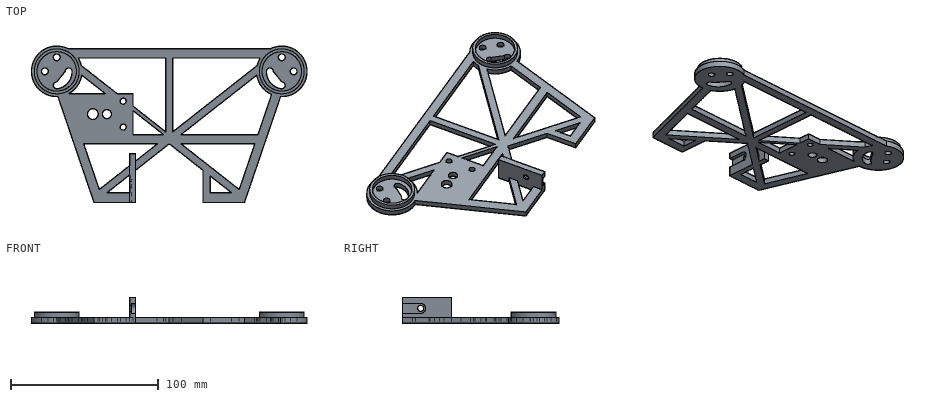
import cadquery as cq
import math

overall_length = 186.7
overall_depth = 106.0
overall_height = 17.5
frame_thickness = 4.0

seat_diameter = 34.3
rim_outer_diameter = 30.5
rim_inner_diameter = 26.7
rim_height = 3.5
seat_hole_diameter = 4.5
seat_hole_offset_x = 8.0
seat_hole_offset_y = 9.5
slot_outer_radius = 10.8

bar_width = 6.3
brace_width = 5.0
rear_edge_y = 104.2
front_half_width = 51.0
side_run = 0.341
front_bar_width = 6.7
hub_y = 43.0
brace_slope = 0.785
leg_inner_x = 22.8

plate_right_x = -24.5
plate_rear_y = 73.7
plate_hole_y = 60.0
large_hole_diameter = 7.0
large_hole_x = -51.7
medium_hole_diameter = 6.0
medium_hole_x = -42.2
screw_hole_diameter = 4.0
screw_hole_x = -31.2
screw_hole_spacing = 17.5

wall_thickness = 4.1
wall_length = 33.2
wall_hole_diameter = 4.0
wall_hole_y = 12.3
wall_hole_z = 10.0
wall_slot_width = 6.7
wall_slot_depth = 2.8

seat_x = (overall_length - seat_diameter) / 2
seat_y = overall_depth - seat_diameter / 2
side_bar_run = bar_width * math.hypot(1, side_run)
brace_half_rise = brace_width / 2 * math.hypot(1, brace_slope)
cross_bar_front_y = hub_y - bar_width / 2
cross_bar_rear_y = hub_y + bar_width / 2


def outer_side_x(y):
    """Half width of the frame at depth y."""
    return front_half_width + side_run * y


def prism(points):
    """Closed outline raised to the frame thickness."""
    return cq.Workplane("XY").polyline(points).close().extrude(frame_thickness)


def block(x_min, x_max, y_min, y_max):
    return prism([(x_min, y_min), (x_max, y_min), (x_max, y_max), (x_min, y_max)])


def cylinder(x, y, diameter):
    return cq.Workplane("XY").center(x, y).circle(diameter / 2).extrude(frame_thickness)


def brace(side, front_y, rear_y):
    """Diagonal half of the hub cross, from the front bar to the opposite rear seat."""
    half_run = brace_half_rise / brace_slope
    front_x = side * (front_y - hub_y) / brace_slope
    rear_x = side * (rear_y - hub_y) / brace_slope
    return prism([
        (front_x - half_run, front_y),
        (front_x + half_run, front_y),
        (rear_x + half_run, rear_y),
        (rear_x - half_run, rear_y),
    ])


def side_bar(side):
    """Sloping outer member from the front edge to the seat centre."""
    front_x = outer_side_x(0)
    rear_x = outer_side_x(seat_y)
    return prism([
        (side * (front_x - side_bar_run), 0),
        (side * front_x, 0),
        (side * rear_x, seat_y),
        (side * (rear_x - side_bar_run), seat_y),
    ])


def seat_cutouts(side):
    """Two round holes and a crescent slot through a seat, mirrored by side."""
    rear_hole = cylinder(0, seat_hole_offset_y, seat_hole_diameter)
    outer_hole = cylinder(seat_hole_offset_x, 0, seat_hole_diameter)
    inner_end = cylinder(-seat_hole_offset_x, 0, seat_hole_diameter)
    front_end = cylinder(0, -seat_hole_offset_y, seat_hole_diameter)
    end_radius = seat_hole_diameter / 2
    slot_inner_x = -seat_hole_offset_x - end_radius
    slot_front_y = -seat_hole_offset_y - end_radius
    middle = slot_outer_radius * math.sqrt(0.5)
    crescent = (
        cq.Workplane("XY")
        .moveTo(-seat_hole_offset_x + end_radius, 0)
        .lineTo(slot_inner_x, 0)
        .threePointArc((-middle, -middle), (0, slot_front_y))
        .lineTo(0, -seat_hole_offset_y + end_radius)
        .close()
        .extrude(frame_thickness)
    )
    cutouts = rear_hole.union(outer_hole).union(inner_end).union(front_end).union(crescent)
    if side < 0:
        cutouts = cutouts.mirror("YZ")
    return cutouts.translate((side * seat_x, seat_y, 0))


def seat_rim(side):
    return (
        cq.Workplane("XY", origin=(side * seat_x, seat_y, frame_thickness))
        .circle(rim_outer_diameter / 2)
        .circle(rim_inner_diameter / 2)
        .extrude(rim_height)
    )


cross_bar_half = outer_side_x(hub_y) - side_bar_run / 2
frame = block(-seat_x, seat_x, rear_edge_y - bar_width, rear_edge_y)
frame = frame.union(block(-cross_bar_half, cross_bar_half, cross_bar_front_y, cross_bar_rear_y))
frame = frame.union(block(-brace_width / 2, brace_width / 2, hub_y, rear_edge_y))
brace_front_y = front_bar_width
brace_rear_y = hub_y + brace_slope * (seat_x - seat_diameter / 4)
for side in (-1, 1):
    front_bar = prism([
        (side * leg_inner_x, 0),
        (side * outer_side_x(0), 0),
        (side * outer_side_x(front_bar_width), front_bar_width),
        (side * leg_inner_x, front_bar_width),
    ])
    frame = frame.union(side_bar(side)).union(front_bar)
    frame = frame.union(brace(side, brace_front_y, brace_rear_y))
    frame = frame.union(cylinder(side * seat_x, seat_y, seat_diameter))

leg_outer_x = leg_inner_x + brace_width
frame = frame.union(prism([
    (leg_inner_x, 0),
    (leg_outer_x, 0),
    (leg_outer_x, hub_y - brace_slope * leg_outer_x),
    (leg_inner_x, hub_y - brace_slope * leg_inner_x),
]))

frame = frame.cut(prism([
    (plate_right_x, cross_bar_rear_y),
    ((hub_y - cross_bar_rear_y) / brace_slope, cross_bar_rear_y),
    (plate_right_x, hub_y - brace_slope * plate_right_x),
]))

frame = frame.union(prism([
    (-outer_side_x(cross_bar_front_y), cross_bar_front_y),
    (plate_right_x, cross_bar_front_y),
    (plate_right_x, plate_rear_y),
    (-outer_side_x(plate_rear_y), plate_rear_y),
]))
plate_holes = [
    (large_hole_x, plate_hole_y, large_hole_diameter),
    (medium_hole_x, plate_hole_y, medium_hole_diameter),
    (screw_hole_x, plate_hole_y - screw_hole_spacing / 2, screw_hole_diameter),
    (screw_hole_x, plate_hole_y + screw_hole_spacing / 2, screw_hole_diameter),
]
for x, y, diameter in plate_holes:
    frame = frame.cut(cylinder(x, y, diameter))

for side in (-1, 1):
    frame = frame.cut(seat_cutouts(side)).union(seat_rim(side))

wall_inner_x = -leg_inner_x
wall = cq.Workplane("XY").box(wall_thickness, wall_length, overall_height, centered=False)
wall = wall.translate((wall_inner_x - wall_thickness, 0, 0))
wall_face = cq.Workplane("YZ", origin=(wall_inner_x, wall_hole_y, wall_hole_z))
wall_hole = wall_face.circle(wall_hole_diameter / 2).extrude(-wall_thickness)
slot_end = wall_face.circle(wall_slot_width / 2).extrude(-wall_slot_depth)
slot_run = wall_face.center(-wall_hole_y / 2, 0).rect(wall_hole_y, wall_slot_width)
slot_run = slot_run.extrude(-wall_slot_depth)
wall = wall.cut(wall_hole).cut(slot_end).cut(slot_run)

result = frame.union(wall)